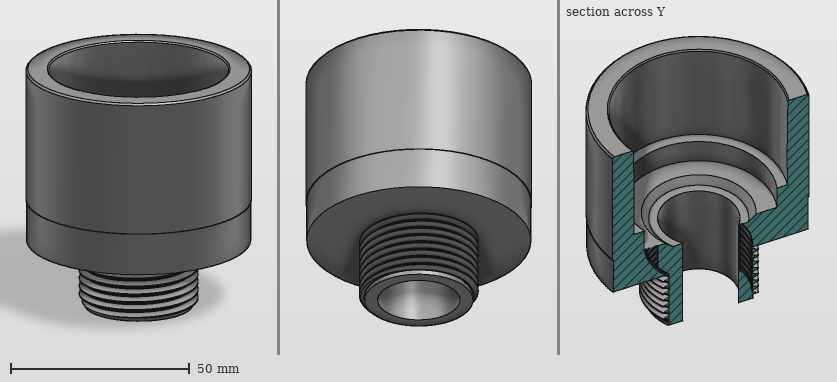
import cadquery as cq
import math

total_height = 69.3
thread_start = 1.45
shoulder_height = 19.0
collar_top = 31.0
socket_floor = 38.1

body_diameter = 63.1
collar_diameter = 62.7
rim_chamfer = 0.55

socket_mouth_diameter = 50.3
socket_floor_diameter = 50.0
mouth_chamfer = 0.4

recess_diameter = 44.0
recess_floor = collar_top
funnel_top_diameter = 32.1
funnel_bottom_diameter = 28.0
bore_diameter = 23.0
funnel_height = (funnel_top_diameter - funnel_bottom_diameter) / 2

thread_root_diameter = 30.3
thread_crest_diameter = 33.25
seven_turns_length = 16.15
thread_pitch = seven_turns_length / 7
flank_angle = 27.5
crest_width = 0.3
thread_crest_height = 1.65
ridge_overlap = 0.2


def revolve_profile(points):
    """Revolve a closed (radius, height) outline about the Z axis."""
    return cq.Workplane("XZ").polyline(points).close().revolve(360, (0, 0, 0), (0, 1, 0))


def make_body():
    body_radius = body_diameter / 2
    collar_radius = collar_diameter / 2
    root_radius = thread_root_diameter / 2
    return revolve_profile([
        (0, 0),
        (root_radius, 0),
        (root_radius, shoulder_height),
        (collar_radius, shoulder_height),
        (collar_radius, collar_top),
        (body_radius, collar_top),
        (body_radius, total_height - rim_chamfer),
        (body_radius - rim_chamfer, total_height),
        (0, total_height),
    ])


def make_cavity():
    mouth_radius = socket_mouth_diameter / 2
    floor_radius = socket_floor_diameter / 2
    recess_radius = recess_diameter / 2
    ledge_height = recess_floor - funnel_height
    bore_radius = bore_diameter / 2
    return revolve_profile([
        (0, 0),
        (bore_radius, 0),
        (bore_radius, ledge_height),
        (funnel_bottom_diameter / 2, ledge_height),
        (funnel_top_diameter / 2, recess_floor),
        (recess_radius, recess_floor),
        (recess_radius, socket_floor),
        (floor_radius, socket_floor),
        (mouth_radius, total_height - mouth_chamfer),
        (mouth_radius + mouth_chamfer, total_height),
        (0, total_height),
    ])


def make_thread():
    """Helical ridge, trimmed flat at the thread start and at the shoulder."""
    crest_radius = thread_crest_diameter / 2
    base_radius = thread_root_diameter / 2 - ridge_overlap
    half_crest = crest_width / 2
    half_base = half_crest + (crest_radius - base_radius) * math.tan(math.radians(flank_angle))

    helix_start = thread_crest_height - thread_pitch
    turns = math.ceil((shoulder_height - helix_start) / thread_pitch) + 1
    helix = cq.Wire.makeHelix(thread_pitch, turns * thread_pitch, base_radius)
    ridge = (
        cq.Workplane("XZ")
        .polyline([
            (base_radius, -half_base),
            (crest_radius, -half_crest),
            (crest_radius, half_crest),
            (base_radius, half_base),
        ])
        .close()
        .sweep(cq.Workplane(obj=helix), isFrenet=True)
        .translate((0, 0, helix_start))
    )
    threaded_zone = (
        cq.Workplane("XY", origin=(0, 0, thread_start))
        .circle(thread_crest_diameter)
        .extrude(shoulder_height - thread_start)
    )
    return ridge.intersect(threaded_zone)


result = make_body().union(make_thread()).cut(make_cavity())